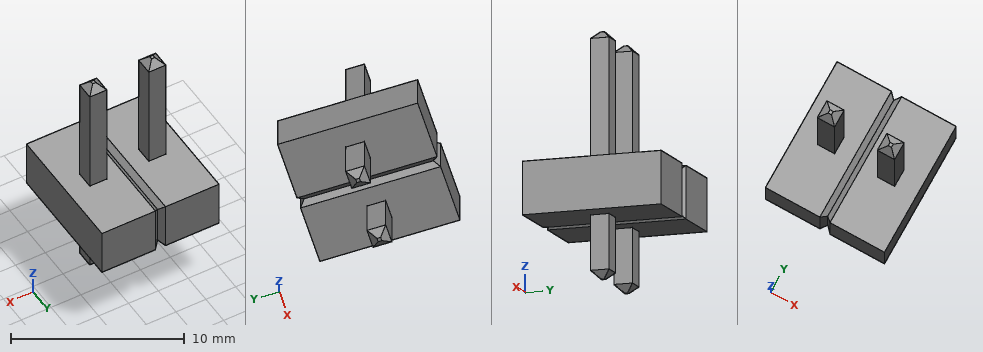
import cadquery as cq

HOUSING_LENGTH = 7.85
HOUSING_DEPTH = 8.5
HOUSING_HEIGHT = 3.17
GROOVE_DEPTH = 0.34

PIN_COUNT = 2
PIN_PITCH = 3.95
PIN_WIDTH = 1.14
PIN_LENGTH = 14.6
PIN_BELOW = 3.72
TIP_HEIGHT = 0.45
TIP_WIDTH = 0.22

PIN_CENTRES = [(i - (PIN_COUNT - 1) / 2) * PIN_PITCH for i in range(PIN_COUNT)]
SHANK_LENGTH = PIN_LENGTH - 2 * TIP_HEIGHT


def make_cell(side):
    """Half of the housing, with its inner face chamfered; side is -1 or +1 along X."""
    cell_length = HOUSING_LENGTH / 2
    inner_face = "<X" if side > 0 else ">X"
    return (
        cq.Workplane("XY")
        .box(cell_length, HOUSING_DEPTH, HOUSING_HEIGHT, centered=(True, True, False))
        .translate((side * cell_length / 2, 0, 0))
        .faces(inner_face)
        .edges()
        .chamfer(GROOVE_DEPTH)
    )


def make_housing():
    """Joined cells with a square hole for each pin."""
    holes = (
        cq.Workplane("XY")
        .pushPoints([(x, 0) for x in PIN_CENTRES])
        .rect(PIN_WIDTH, PIN_WIDTH)
        .extrude(HOUSING_HEIGHT)
    )
    return make_cell(-1).union(make_cell(1)).cut(holes)


def make_tip(base_z, direction):
    """Truncated pyramid growing from base_z up (+1) or down (-1)."""
    return (
        cq.Workplane("XY", origin=(0, 0, base_z))
        .rect(PIN_WIDTH, PIN_WIDTH)
        .workplane(offset=direction * TIP_HEIGHT)
        .rect(TIP_WIDTH, TIP_WIDTH)
        .loft(ruled=True)
    )


def make_pin(x):
    """Square shank with a tapered tip at both ends."""
    shank_bottom = TIP_HEIGHT - PIN_BELOW
    shank = (
        cq.Workplane("XY", origin=(0, 0, shank_bottom))
        .rect(PIN_WIDTH, PIN_WIDTH)
        .extrude(SHANK_LENGTH)
    )
    lower_tip = make_tip(shank_bottom, -1)
    upper_tip = make_tip(shank_bottom + SHANK_LENGTH, 1)
    return shank.union(lower_tip).union(upper_tip).translate((x, 0, 0))


housing = make_housing()
pins = [make_pin(x) for x in PIN_CENTRES]

result = cq.Compound.makeCompound([housing.solids().val(), *[pin.solids().val() for pin in pins]])